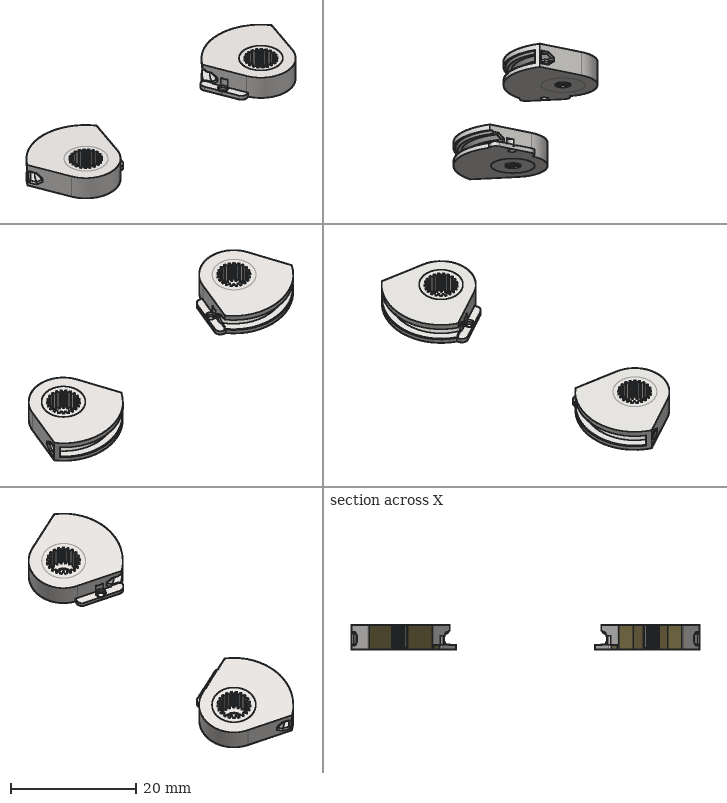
import cadquery as cq
import math

total_length = 55.55
height = 3.95

rim_radius = 9.5
nose_radius = 5.55
side_angle = 70.0

groove_floor = 0.9
groove_ledge = 2.55
groove_ceiling = 3.0
core_radius = 7.5
core_rim_radius = 8.15
core_band_bottom = 1.55
core_band_top = 1.9
ledge_radius = 8.85
ceiling_radius = 9.15
clear_radius = 10.0
floor_chamfer = 0.1

post_inner_radius = 9.0
post_depth = 0.9
post_chamfer = 0.2
mouth_chamfer = 0.3

lug_width = 1.35
lug_thickness = 0.8
lug_nose_overhang = 0.3
lug_rim_overhang = 0.1
lug_corner_radius = 1.0

cable_hole_diameter = 1.2
cable_hole_chamfer = 0.2
cable_hole_offset = 0.55
cable_hole_station = 3.9
relief_top = 2.2

hub_diameter = 7.0
screw_hole_diameter = 2.5
hub_floor = 0.35
tooth_count = 21
spline_root_radius = 2.65
spline_tip_radius = 2.15
root_width_share = 0.3
tip_width_share = 0.2

normal_x = math.cos(math.radians(side_angle))
normal_y = math.sin(math.radians(side_angle))


def along_side(radius, distance):
    """Length along a flat side at which a line `distance` from the axis meets `radius`."""
    return math.sqrt(radius**2 - distance**2)


def side_point(station, distance, side):
    """XY point at a station along the flat side; side is +1 for +Y and -1 for -Y."""
    x = distance * normal_x - station * normal_y
    y = distance * normal_y + station * normal_x
    return (x, side * y)


corner_station = along_side(rim_radius, nose_radius)
corner_reach = side_point(corner_station, nose_radius, 1)[1]
axis_offset = total_length / 2 - corner_reach


def make_sector():
    """Plate bounded by the rim arc, two flat sides and the round nose."""
    return (
        cq.Workplane("XY")
        .moveTo(*side_point(corner_station, nose_radius, 1))
        .threePointArc((-rim_radius, 0), side_point(corner_station, nose_radius, -1))
        .lineTo(*side_point(0, nose_radius, -1))
        .threePointArc((nose_radius, 0), side_point(0, nose_radius, 1))
        .close()
        .extrude(height)
    )


def make_post_zone():
    """Space behind the +Y flat side, outside the post's inner radius."""
    inner_distance = nose_radius - post_depth
    rim_station = along_side(rim_radius, inner_distance)
    zone = (
        cq.Workplane("XY")
        .polyline([
            side_point(0, inner_distance, 1),
            side_point(rim_station - post_chamfer, inner_distance, 1),
            side_point(rim_station, inner_distance + post_chamfer, 1),
            side_point(rim_radius, inner_distance + post_chamfer, 1),
            side_point(rim_radius, rim_radius, 1),
            side_point(0, rim_radius, 1),
        ])
        .close()
        .extrude(height)
    )
    return zone.cut(cq.Workplane("XY").circle(post_inner_radius).extrude(height))


def make_groove():
    """Ring swept by the groove profile, stopped short of the corner post."""
    ring = (
        cq.Workplane("XZ")
        .polyline([
            (clear_radius, groove_floor - floor_chamfer),
            (rim_radius, groove_floor - floor_chamfer),
            (rim_radius - floor_chamfer, groove_floor),
            (core_rim_radius, groove_floor),
            (core_radius, core_band_bottom),
            (core_radius, core_band_top),
            (core_rim_radius, groove_ledge),
            (ledge_radius, groove_ledge),
            (ceiling_radius, groove_ceiling),
            (clear_radius, groove_ceiling),
        ])
        .close()
        .revolve(360, (0, 0, 0), (0, 1, 0))
    )
    return ring.cut(make_post_zone())


def make_mouth_chamfer():
    """Flared cutter round the opening of the groove in the +Y flat side."""
    distance = nose_radius - mouth_chamfer
    outer = along_side(post_inner_radius, distance)
    shoulder = along_side(core_rim_radius, distance)
    apex = along_side(core_radius, distance)
    inner_plane = cq.Plane(
        origin=(distance * normal_x, distance * normal_y, 0),
        xDir=(-normal_y, normal_x, 0),
        normal=(normal_x, normal_y, 0),
    )
    return (
        cq.Workplane(inner_plane)
        .polyline([
            (outer, groove_floor),
            (outer, groove_ledge),
            (shoulder, groove_ledge),
            (apex, core_band_top),
            (apex, core_band_bottom),
            (shoulder, groove_floor),
        ])
        .close()
        .extrude(mouth_chamfer, taper=-45)
    )


def make_lug():
    """Strip rooted in the plate at the -Y side, with its two outer corners rounded."""
    length = lug_rim_overhang + corner_station + lug_nose_overhang
    strip = (
        cq.Workplane("XY")
        .box(length, lug_width * 2, lug_thickness, centered=(False, True, False))
        .translate((-corner_station - lug_rim_overhang, -nose_radius, 0))
        .edges("|Z and <Y")
        .fillet(lug_corner_radius)
    )
    return strip.rotate((0, 0, 0), (0, 0, 1), 90 - side_angle)


def make_cable_hole():
    """Chamfered hole whose wide mouth continues upward as a relief in the flat side."""
    radius = cable_hole_diameter / 2
    mouth_radius = radius + cable_hole_chamfer
    cutter = (
        cq.Workplane("XZ")
        .polyline([
            (0, 0),
            (radius, 0),
            (radius, lug_thickness - cable_hole_chamfer),
            (mouth_radius, lug_thickness),
            (mouth_radius, relief_top),
            (0, relief_top),
        ])
        .close()
        .revolve(360, (0, 0, 0), (0, 1, 0))
    )
    x, y = side_point(cable_hole_station, nose_radius + cable_hole_offset, -1)
    return cutter.translate((x, y, 0))


def make_hub_bore():
    return cq.Workplane("XY").circle(hub_diameter / 2).extrude(height)


def make_horn():
    """Sector horn with its groove, lug and an open bore for the hub."""
    mouth = make_mouth_chamfer()
    return (
        make_sector()
        .cut(make_groove())
        .cut(mouth)
        .cut(mouth.mirror("XZ"))
        .union(make_lug())
        .cut(make_cable_hole())
        .cut(make_hub_bore())
    )


def polar(radius, angle):
    return (radius * math.cos(angle), radius * math.sin(angle))


def make_hub():
    """Round hub with a toothed socket above a thin floor that has a screw hole."""
    pitch = 2 * math.pi / tooth_count
    outline = []
    for tooth in range(tooth_count):
        root = tooth * pitch - math.pi / 2
        tip = root + pitch / 2
        outline.append(polar(spline_root_radius, root - pitch * root_width_share / 2))
        outline.append(polar(spline_root_radius, root + pitch * root_width_share / 2))
        outline.append(polar(spline_tip_radius, tip - pitch * tip_width_share / 2))
        outline.append(polar(spline_tip_radius, tip + pitch * tip_width_share / 2))
    socket = cq.Workplane("XY").workplane(offset=hub_floor).polyline(outline).close().extrude(height)
    screw_hole = cq.Workplane("XY").circle(screw_hole_diameter / 2).extrude(height)
    return make_hub_bore().cut(socket).cut(screw_hole)


insert_horn = make_horn().translate((0, axis_offset, 0))
hub_insert = make_hub().translate((0, axis_offset, 0))

one_piece_horn = make_horn().union(make_hub(), clean=False).translate((0, axis_offset, 0)).mirror("XZ")

result = cq.Compound.makeCompound([insert_horn.val(), hub_insert.val(), *one_piece_horn.vals()])